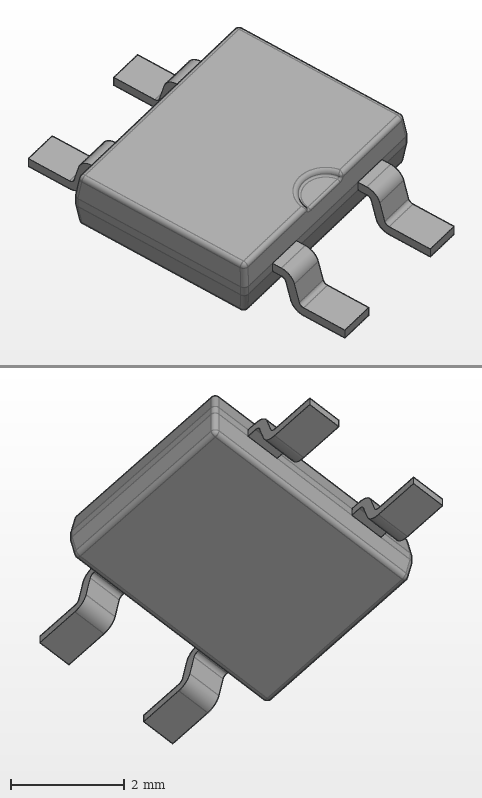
import cadquery as cq
import math

body_length_x = 3.8
body_width_y = 4.8
body_bottom = 0.2
body_top = 1.4
body_edge_radius = 0.1
draft_angle = 7.0

lead_span = 7.0
lead_thickness = 0.2
lead_width = 0.7
lead_pitch = 2.5
lead_top = 0.9
foot_length = 0.91
bend_inner_radius = 0.1
riser_angle = 15.0

notch_centre_x = 1.87
notch_outer_radius = 0.58
notch_depth = 0.1
notch_rim_radius = 0.1
notch_root_radius = 0.05
notch_sill_radius = 0.06

lead_bottom = lead_top - lead_thickness
body_half_x = body_length_x / 2
body_half_y = body_width_y / 2


def drafted_half(waist_z, end_z):
    """Package half that narrows from the waist to its flat end face."""
    return (
        cq.Workplane("XY", origin=(0, 0, waist_z))
        .rect(body_length_x, body_width_y)
        .extrude(end_z - waist_z, taper=draft_angle)
    )


def make_notch():
    """Shallow round dish whose wall is a rounded rim running smoothly into a hollow root."""
    wall_angle = math.acos(1 - notch_depth / (notch_rim_radius + notch_root_radius))
    floor_z = body_top - notch_depth
    rim_centre_z = body_top - notch_rim_radius
    root_centre_z = floor_z + notch_root_radius
    floor_radius = notch_outer_radius - (notch_rim_radius + notch_root_radius) * math.sin(wall_angle)

    def on_rim(angle):
        return (
            notch_outer_radius - notch_rim_radius * math.sin(angle),
            rim_centre_z + notch_rim_radius * math.cos(angle),
        )

    def on_root(angle):
        return (
            floor_radius + notch_root_radius * math.sin(angle),
            root_centre_z - notch_root_radius * math.cos(angle),
        )

    return (
        cq.Workplane("XZ", origin=(notch_centre_x, 0, 0))
        .moveTo(0, floor_z)
        .lineTo(floor_radius, floor_z)
        .threePointArc(on_root(wall_angle / 2), on_root(wall_angle))
        .threePointArc(on_rim(wall_angle / 2), on_rim(0))
        .lineTo(0, body_top)
        .close()
        .revolve(360, (0, 0, 0), (0, 1, 0))
    )


def corner_edges(body):
    """Upright edges at the four corners, through the waist and both drafted halves."""
    reach = (body_top - body_bottom) * math.tan(math.radians(draft_angle))

    def at_corner(edge):
        middle = edge.Center()
        return abs(middle.x) > body_half_x - reach and abs(middle.y) > body_half_y - reach

    return body.edges().filter(at_corner)


def notch_sill(body):
    """Straight edge where the notch floor runs out on the +X side."""
    floor_z = body_top - notch_depth
    floor_point = (notch_centre_x - notch_outer_radius / 2, 0, floor_z)
    return body.faces(cq.selectors.NearestToPointSelector(floor_point)).edges(">X")


def make_body():
    """Package with all its outer edges and the notch sill rounded."""
    waist = (
        cq.Workplane("XY", origin=(0, 0, lead_bottom))
        .rect(body_length_x, body_width_y)
        .extrude(lead_thickness)
    )
    body = waist.union(drafted_half(lead_top, body_top)).union(drafted_half(lead_bottom, body_bottom))
    rounded_edges = corner_edges(body).add(body.faces(">Z or <Z").edges())
    body = body.newObject(rounded_edges.vals()).fillet(body_edge_radius)
    body = body.cut(make_notch())
    return notch_sill(body).fillet(notch_sill_radius)


def make_lead(side, y_centre):
    """One lead; side is +1 for the +X side and -1 for the -X side."""
    bend_outer_radius = bend_inner_radius + lead_thickness
    slant = math.radians(riser_angle)
    bend_height = (bend_inner_radius + bend_outer_radius) * (1 - math.sin(slant))
    riser_height = lead_top - lead_thickness - bend_height
    bend_reach = (bend_inner_radius + bend_outer_radius) * math.cos(slant)

    tip_x = lead_span / 2
    lower_x = tip_x - foot_length
    upper_x = lower_x - bend_reach - riser_height * math.tan(slant)
    lower_z = bend_outer_radius
    upper_z = lead_top - bend_outer_radius

    def on_bend(centre_x, centre_z, radius, angle):
        return side * (centre_x + radius * math.cos(angle)), centre_z + radius * math.sin(angle)

    def upper_bend(radius, angle):
        return on_bend(upper_x, upper_z, radius, angle)

    def lower_bend(radius, angle):
        return on_bend(lower_x, lower_z, radius, angle + math.pi)

    bend_end = slant
    bend_start = math.pi / 2
    bend_middle = (bend_start + bend_end) / 2

    profile = (
        cq.Workplane("XZ", origin=(0, y_centre + lead_width / 2, 0))
        .moveTo(side * body_half_x, lead_top)
        .lineTo(*upper_bend(bend_outer_radius, bend_start))
        .threePointArc(upper_bend(bend_outer_radius, bend_middle), upper_bend(bend_outer_radius, bend_end))
        .lineTo(*lower_bend(bend_inner_radius, bend_end))
        .threePointArc(lower_bend(bend_inner_radius, bend_middle), lower_bend(bend_inner_radius, bend_start))
        .lineTo(side * tip_x, lead_thickness)
        .lineTo(side * tip_x, 0)
        .lineTo(*lower_bend(bend_outer_radius, bend_start))
        .threePointArc(lower_bend(bend_outer_radius, bend_middle), lower_bend(bend_outer_radius, bend_end))
        .lineTo(*upper_bend(bend_inner_radius, bend_end))
        .threePointArc(upper_bend(bend_inner_radius, bend_middle), upper_bend(bend_inner_radius, bend_start))
        .lineTo(side * body_half_x, lead_bottom)
        .close()
    )
    return profile.extrude(lead_width)


body = make_body()
leads = [
    make_lead(side, row * lead_pitch / 2)
    for side in (-1, 1)
    for row in (-1, 1)
]

result = cq.Compound.makeCompound([body.val(), *[lead.val() for lead in leads]])